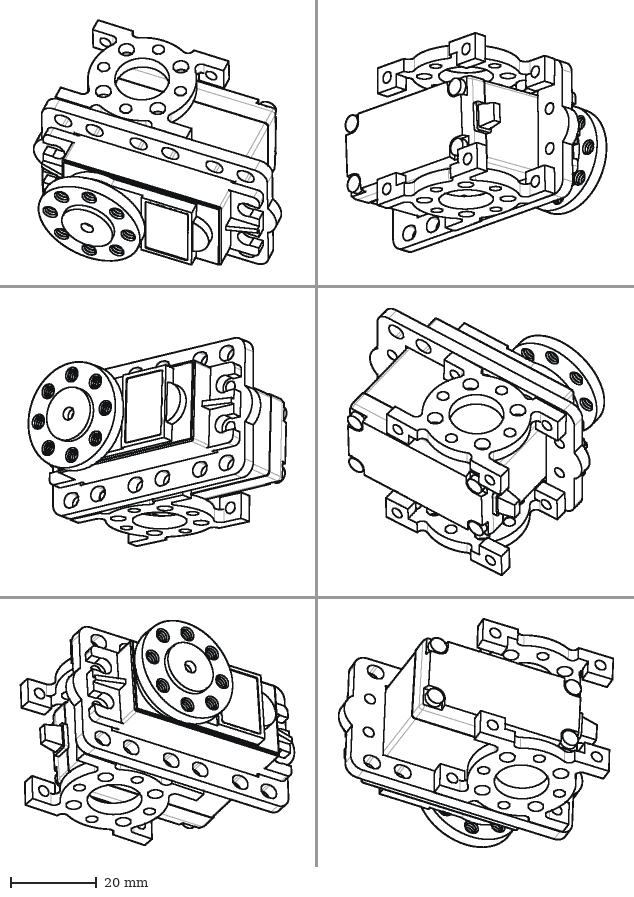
import cadquery as cq
import math



def place(solid, tilt, offset):
    """Turn a body about its own origin by (about X, about Y, about Z) degrees, then move it."""
    about_x, about_y, about_z = tilt
    turned = solid.rotate((0, 0, 0), (1, 0, 0), about_x)
    turned = turned.rotate((0, 0, 0), (0, 1, 0), about_y)
    turned = turned.rotate((0, 0, 0), (0, 0, 1), about_z)
    return turned.translate(offset)


def span_box(x_span, y_span, z_span):
    """Box between pairs of limits."""
    sizes = [high - low for low, high in (x_span, y_span, z_span)]
    corner = (x_span[0], y_span[0], z_span[0])
    return cq.Workplane("XY").box(*sizes, centered=False).translate(corner)


def y_cylinder(diameter, y_front, y_rear, x=0, z=0):
    """Cylinder along Y between two Y positions."""
    disc = cq.Workplane("XZ", origin=(0, y_rear, 0)).center(x, z).circle(diameter / 2)
    return disc.extrude(y_rear - y_front)


sheet = 3.18
hub_dia = 25.4
hub_bore = 12.7
hole_circle_radius = 9.75
thread_minor = 2.71
thread_major = 3.5
thread_pitch = 0.795

servo_tilt = (-3.7, -1.2, -1.2)
servo_offset = (0.19, 1.06, -0.3)
plate_tilt = (-1.66, -1.2, -1.2)
plate_offset = (10.07, 13.4, -0.8)
upper_bracket_tilt = (-1.1, -1.5, -2.0)
upper_bracket_offset = (0.42, 30.2, 15.3)
lower_bracket_tilt = (-1.6, -0.3, -0.8)
lower_bracket_offset = (1.25, 29.35, -18.45)


horn_boss_height = 1.3
horn_screw_bore = 3.0
horn_socket_dia = 6.86
horn_socket_depth = 2.6
horn_hole_count = 8


def thread_cutter(length):
    """Ringed cutter along +Y from the origin, standing in for a tapped thread."""
    turns = round(length / thread_pitch)
    profile = [(0, 0)]
    for turn in range(turns):
        start = turn * thread_pitch
        profile.append((thread_major / 2, start))
        profile.append((thread_minor / 2, start + thread_pitch / 2))
    profile.append((thread_major / 2, turns * thread_pitch))
    profile.append((0, turns * thread_pitch))
    return cq.Workplane("XY").polyline(profile).close().revolve(360, (0, 0), (0, 1))


def make_horn():
    disc = y_cylinder(hub_dia, -sheet, 0)
    boss = y_cylinder(hub_bore, -sheet - horn_boss_height, -sheet)
    horn = disc.union(boss)
    for index in range(horn_hole_count):
        angle = 2 * math.pi * index / horn_hole_count
        hole_x = hole_circle_radius * math.cos(angle)
        hole_z = hole_circle_radius * math.sin(angle)
        horn = horn.cut(thread_cutter(sheet).translate((hole_x, -sheet, hole_z)))
    horn = horn.cut(y_cylinder(horn_screw_bore, -sheet - horn_boss_height, 0))
    return horn.cut(y_cylinder(horn_socket_dia, -horn_socket_depth, 0))


shaft_dia = 6.2
shaft_tip_y = -2.8
shaft_root_y = 3.0
shaft_screw_dia = 2.5
shaft_screw_depth = 4.0
spline_teeth = 24
spline_depth = 0.35

case_center_x = 9.85
case_length = 40.1
case_height = 20.0
edge_round = 0.9
front_edge_round = 0.6
cap_front_y = 1.2
lip_front_y = 3.4
box_front_y = 3.85
lip_inset = 0.5
lug_front_y = 9.65
lug_rear_y = 12.2
lid_front_y = 32.45
lid_taper_y = 36.45
case_rear_y = 39.45
case_left_x = case_center_x - case_length / 2


def case_block(length, height, y_front, y_rear):
    """Block of the servo case, centred on the case."""
    half_length = length / 2
    return span_box(
        (case_center_x - half_length, case_center_x + half_length),
        (y_front, y_rear),
        (-height / 2, height / 2),
    )


lug_span = 54.4
lug_corner = 1.5
lug_hole_half_span = 23.95
lug_hole_dia = 4.2
lug_slot_width = 3.8
screw_half_span_x = 24.15
screw_half_span_z = 4.95
rib_width = 1.3
rib_tip_height = 1.0
rib_root_height = 2.9


def make_lugs():
    lugs = case_block(lug_span, case_height, lug_front_y, lug_rear_y)
    lugs = lugs.edges("|Y").fillet(lug_corner)
    for side in (-1, 1):
        hole_x = case_center_x + side * lug_hole_half_span
        outer_x = case_center_x + side * lug_span / 2
        for hole_z in (-screw_half_span_z, screw_half_span_z):
            lugs = lugs.cut(y_cylinder(lug_hole_dia, lug_front_y, lug_rear_y, hole_x, hole_z))
            slot = span_box(
                sorted((hole_x, outer_x)),
                (lug_front_y, lug_rear_y),
                (hole_z - lug_slot_width / 2, hole_z + lug_slot_width / 2),
            )
            lugs = lugs.cut(slot)
        root_x = case_center_x + side * case_length / 2
        rib = (
            cq.Workplane("XY")
            .moveTo(outer_x, lug_front_y)
            .lineTo(outer_x, lug_front_y - rib_tip_height)
            .lineTo(root_x, lug_front_y - rib_root_height)
            .lineTo(root_x, lug_front_y)
            .close()
            .extrude(rib_width / 2, both=True)
        )
        lugs = lugs.union(rib)
    return lugs


cap_dia = 19.0
cap_half_height = 9.0
cap_right_x = 23.8
cap_boss_dia = 10.0
cap_boss_x = 22.8
panel_left_x = 11.1
panel_rise = 0.7
panel_margin = 1.0
panel_recess = 0.3
panel_recess_corner = 0.5
collar_dia = 12.72
bush_dia = 10.9
bush_height = 0.65


def make_gear_cap():
    cap = y_cylinder(cap_dia, cap_front_y, lip_front_y)
    z_span = (-cap_half_height, cap_half_height)
    cap = cap.union(span_box((0, cap_right_x), (cap_front_y, lip_front_y), z_span))
    cap = cap.union(y_cylinder(cap_boss_dia, cap_front_y, lip_front_y, cap_boss_x))
    panel_front_y = cap_front_y - panel_rise
    cap = cap.union(span_box((panel_left_x, cap_right_x), (panel_front_y, cap_front_y), z_span))
    recess = span_box(
        (panel_left_x + panel_margin, cap_right_x - panel_margin),
        (panel_front_y, panel_front_y + panel_recess),
        (-cap_half_height + panel_margin, cap_half_height - panel_margin),
    )
    cap = cap.cut(recess.edges("|Y").fillet(panel_recess_corner))
    cap = cap.union(y_cylinder(collar_dia, 0, cap_front_y))
    return cap.union(y_cylinder(bush_dia, -bush_height, 0))


lid_step = 0.15
lid_taper_angle = 17.0
lid_screw_half_span_x = 17.3
lid_screw_half_span_z = 7.4
lid_screw_dia = 4.1
lid_recess_dia = 4.7
lid_recess_depth = 1.6
lid_screw_height = 1.55


def make_lid():
    length = case_length + 2 * lid_step
    height = case_height + 2 * lid_step
    rim = case_block(length, height, lid_front_y, lid_taper_y).edges("|Y").fillet(edge_round)
    rear_outline = rim.faces(">Y").wires().toPending().workplane()
    lid = rear_outline.extrude(case_rear_y - lid_taper_y, taper=lid_taper_angle)
    recess_floor_y = case_rear_y - lid_recess_depth
    recess_radius = lid_recess_dia / 2
    y_span = (recess_floor_y, case_rear_y)
    for side_x in (-1, 1):
        screw_x = case_center_x + side_x * lid_screw_half_span_x
        inner_x = screw_x - side_x * recess_radius
        outer_x = screw_x + side_x * 2 * recess_radius
        for side_z in (-1, 1):
            screw_z = side_z * lid_screw_half_span_z
            inner_z = screw_z - side_z * recess_radius
            outer_z = screw_z + side_z * 2 * recess_radius
            seat = y_cylinder(lid_recess_dia, *y_span, screw_x, screw_z)
            seat = seat.union(span_box(sorted((inner_x, outer_x)), y_span, sorted((screw_z, outer_z))))
            seat = seat.union(span_box(sorted((screw_x, outer_x)), y_span, sorted((inner_z, outer_z))))
            head_rear_y = recess_floor_y + lid_screw_height
            head = y_cylinder(lid_screw_dia, recess_floor_y, head_rear_y, screw_x, screw_z)
            lid = lid.cut(seat).union(head)
    return lid


outlet_center_y = 34.15
frame_size = (4.5, 7.0)
frame_outer_x = case_left_x - 1.2
frame_length = 1.5
frame_corner = 0.6
plug_base_size = (3.3, 5.5)
plug_tip_size = (1.95, 4.4)
plug_tip_x = case_left_x - 5.6


def make_cable_outlet():
    left_end = cq.Workplane("YZ", origin=(frame_outer_x, outlet_center_y, 0))
    frame = left_end.rect(*frame_size).extrude(frame_length)
    frame = frame.edges("|X").fillet(frame_corner)
    plug = left_end.rect(*plug_base_size).workplane(offset=plug_tip_x - frame_outer_x)
    plug = plug.rect(*plug_tip_size).loft(combine=True)
    return frame.union(plug)


def make_servo():
    front_box = case_block(case_length, case_height, box_front_y, lug_rear_y)
    front_box = front_box.edges("|Y").fillet(front_edge_round)
    lip = case_block(case_length - 2 * lip_inset, case_height - 2 * lip_inset, lip_front_y, box_front_y)
    rear_box = case_block(case_length, case_height, lug_rear_y, lid_front_y)
    rear_box = rear_box.edges("|Y").fillet(edge_round)
    servo = front_box.union(lip).union(rear_box)
    for feature in (make_lugs(), make_gear_cap(), make_lid(), make_cable_outlet()):
        servo = servo.union(feature)
    return servo.cut(y_cylinder(shaft_dia, -bush_height, shaft_root_y))


def make_shaft():
    shaft = y_cylinder(shaft_dia, shaft_tip_y, shaft_root_y)
    groove_length = -bush_height - shaft_tip_y
    groove_plane = cq.Workplane("XZ", origin=(0, -bush_height, 0))
    groove_centers = groove_plane.polarArray(shaft_dia / 2, 0, 360, spline_teeth)
    shaft = shaft.cut(groove_centers.polygon(4, 2 * spline_depth).extrude(groove_length))
    return shaft.cut(y_cylinder(shaft_screw_dia, shaft_tip_y, shaft_tip_y + shaft_screw_depth))


plate_length = 56.9
plate_height = 33.45
plate_corner = 3.18
plate_full_span = 61.22
bump_radius = 5.6
window_length = 40.6
window_height = 20.7
plate_hole_columns = (4.0, 15.1, 23.0)
plate_hole_row = 13.45
plate_hole_length = 4.2
plate_hole_height = 3.56


def make_plate():
    half = (plate_length / 2, plate_height / 2)
    plate = span_box((-half[0], half[0]), (0, sheet), (-half[1], half[1]))
    plate = plate.edges("|Y").fillet(plate_corner)
    for side in (-1, 1):
        bump_x = side * (plate_full_span / 2 - bump_radius)
        plate = plate.union(y_cylinder(2 * bump_radius, 0, sheet, bump_x))
        for hole_z in (-screw_half_span_z, screw_half_span_z):
            plate = plate.cut(y_cylinder(thread_minor, 0, sheet, side * screw_half_span_x, hole_z))
    window = span_box(
        (-window_length / 2, window_length / 2), (0, sheet), (-window_height / 2, window_height / 2)
    )
    plate = plate.cut(window)
    hole_centers = [
        (side * column, row)
        for side in (-1, 1)
        for column in plate_hole_columns
        for row in (-plate_hole_row, plate_hole_row)
    ]
    holes = cq.Workplane("XZ").pushPoints(hole_centers).slot2D(plate_hole_length, plate_hole_height)
    return plate.cut(holes.extrude(-sheet))


ear_end_x = 16.6
ear_inner_x = 7.7
ear_block_size = 6.35
ear_fillet = 1.4
ring_clear_hole = 3.56
ring_tapped_hole = thread_minor
ring_holes_per_set = 4
ring_clear_hole_angle = 45


def make_bracket():
    radius = hub_dia / 2
    bracket = cq.Workplane("XY").circle(radius).extrude(-sheet)
    ears_y = (radius - sheet, radius)
    for side_x in (-1, 1):
        for side_y in (-1, 1):
            arm = span_box(
                sorted((side_x * ear_inner_x, side_x * ear_end_x)),
                sorted(side_y * y for y in ears_y),
                (-sheet, 0),
            )
            bracket = bracket.union(arm)
    corner_x = math.sqrt(radius**2 - ears_y[0] ** 2)
    corner_y = math.sqrt(radius**2 - ear_inner_x**2)
    for x, y in ((corner_x, ears_y[0]), (ear_inner_x, corner_y)):
        for side_x in (-1, 1):
            for side_y in (-1, 1):
                corner = (side_x * x, side_y * y, -sheet / 2)
                bracket = bracket.edges(cq.NearestToPointSelector(corner)).fillet(ear_fillet)
    block_mid_x = ear_end_x - ear_block_size / 2
    for side_x in (-1, 1):
        for side_y in (-1, 1):
            block = span_box(
                sorted((side_x * ear_end_x, side_x * (ear_end_x - ear_block_size))),
                sorted(side_y * y for y in ears_y),
                (-ear_block_size, -sheet),
            )
            screw_hole = y_cylinder(
                thread_minor, *sorted(side_y * y for y in ears_y), side_x * block_mid_x, -ear_block_size / 2
            )
            bracket = bracket.union(block).cut(screw_hole)
    bracket = bracket.cut(cq.Workplane("XY").circle(hub_bore / 2).extrude(-sheet))
    for start_angle, diameter in ((0, ring_tapped_hole), (ring_clear_hole_angle, ring_clear_hole)):
        holes = cq.Workplane("XY").polarArray(hole_circle_radius, start_angle, 360, ring_holes_per_set)
        bracket = bracket.cut(holes.circle(diameter / 2).extrude(-sheet))
    return bracket


horn = make_horn()
servo = place(make_servo(), servo_tilt, servo_offset)
shaft = place(make_shaft(), servo_tilt, servo_offset)
plate = place(make_plate(), plate_tilt, plate_offset)
upper_bracket = place(make_bracket(), upper_bracket_tilt, upper_bracket_offset)
flipped_bracket = make_bracket().rotate((0, 0, 0), (0, 1, 0), 180)
lower_bracket = place(flipped_bracket, lower_bracket_tilt, lower_bracket_offset)

result = cq.Compound.makeCompound(
    [horn.val(), servo.val(), shaft.val(), plate.val(), upper_bracket.val(), lower_bracket.val()]
)